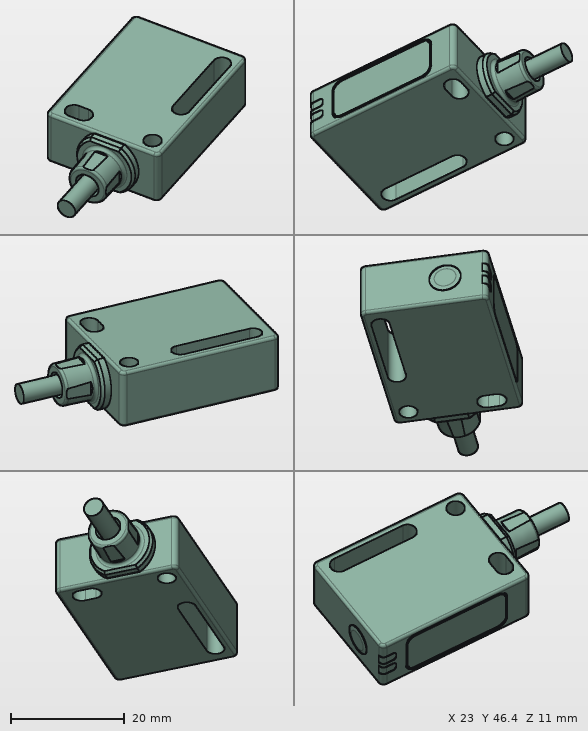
import cadquery as cq
import math

total_length = 46.4
body_width = 23.0
body_height = 11.0
body_length = 31.05
upright_edge_radius = 1.0
flat_edge_radius = 0.55

hole_diameter = 3.25
hole_x = 8.55
hole_y = 2.95
short_slot_x = -6.45
short_slot_length = 5.25
long_slot_y = 20.1
long_slot_length = 17.5

window_length = 21.05
window_height = 9.2
window_y = 15.4
window_radius = 1.95
window_groove_width = 0.32
window_groove_depth = 0.32

indicator_height = 1.8
indicator_length = 3.05
indicator_pitch = 2.8
indicator_radius = 0.65
indicator_depth = 0.1

button_x = -3.85
button_radius = 2.85
button_top_radius = 1.95
button_rise = 0.3
button_rim = 0.15

axis_x = 1.55
flange_radius = 5.95
flange_length = 1.85
flange_half_height = 5.1
flange_chamfer_length = 0.6
flange_chamfer_radial = 0.4
sleeve_base_radius = 3.95
sleeve_tip_radius = 3.85
sleeve_end = 7.8
sleeve_root_fillet = 0.6
sleeve_tip_round = 0.45
grip_flat_distance = 3.7
grip_flat_start = 2.9
grip_ledge_start = 2.55
grip_flat_count = 4
cable_radius = 1.8
funnel_radius = 2.3
funnel_depth = 1.4

cable_end = total_length - body_length - button_rise


def rounded_block(inset):
    """Housing block with rounded edges, shrunk by inset on every side."""
    return (
        cq.Workplane("XY")
        .box(body_width - 2 * inset, body_length - 2 * inset, body_height - 2 * inset)
        .edges("|Z")
        .fillet(upright_edge_radius - inset)
        .faces("<Z or >Z")
        .edges()
        .fillet(flat_edge_radius - inset)
        .translate((0, body_length / 2, 0))
    )


def mounting_holes():
    """Round hole, short cross slot and long slot, all through Z."""
    sketch = cq.Workplane("XY").workplane(offset=-body_height)
    depth = 2 * body_height
    round_hole = sketch.center(hole_x, hole_y).circle(hole_diameter / 2).extrude(depth)
    short_slot = sketch.center(short_slot_x, hole_y).slot2D(short_slot_length, hole_diameter).extrude(depth)
    long_slot = sketch.center(hole_x, long_slot_y).slot2D(long_slot_length, hole_diameter, 90).extrude(depth)
    return round_hole.union(short_slot).union(long_slot)


def window_panel(inset):
    """Rounded rectangular slab reaching the groove depth into the -X side."""
    return (
        cq.Workplane("XY")
        .box(2 * window_groove_depth, window_length - 2 * inset, window_height - 2 * inset)
        .edges("|X")
        .fillet(window_radius - inset)
        .translate((-body_width / 2, window_y, 0))
    )


def indicator_recess(z):
    """Thin skin of the housing inside a round-ended bar at the rear -X corner."""
    bar = (
        cq.Workplane("XY")
        .box(2 * upright_edge_radius, 2 * indicator_length, indicator_height)
        .edges("|X and <Y")
        .fillet(indicator_radius)
        .translate((-body_width / 2, body_length, z))
    )
    return bar.cut(rounded_block(indicator_depth))


def turned(profile):
    """Revolve a closed (radius, distance from the cable face) outline about the cable axis."""
    return profile.close().revolve(360, (0, 0, 0), (0, 1, 0)).mirror("XZ").translate((axis_x, 0, 0))


def flange():
    """Chamfered disc with two chamfered flats, facing +Z and -Z."""
    end_half_height = flange_half_height - flange_chamfer_radial
    straight_length = flange_length - flange_chamfer_length
    disc = turned(
        cq.Workplane("XY")
        .lineTo(flange_radius, 0)
        .lineTo(flange_radius, straight_length)
        .lineTo(flange_radius - flange_chamfer_radial, flange_length)
        .lineTo(0, flange_length)
    )
    bar = (
        cq.Workplane("YZ")
        .moveTo(0, -flange_half_height)
        .lineTo(-straight_length, -flange_half_height)
        .lineTo(-flange_length, -end_half_height)
        .lineTo(-flange_length, end_half_height)
        .lineTo(-straight_length, flange_half_height)
        .lineTo(0, flange_half_height)
        .close()
        .extrude(flange_radius, both=True)
        .translate((axis_x, 0, 0))
    )
    return disc.intersect(bar)


def sleeve():
    """Tapered strain relief with a flared root, a rounded tip and flat grip faces."""
    root_end = flange_length + sleeve_root_fillet
    root_radius = sleeve_base_radius + sleeve_root_fillet
    root_bend = sleeve_root_fillet * (1 - math.sqrt(0.5))
    tip_bend = sleeve_tip_round * (1 - math.sqrt(0.5))
    body = turned(
        cq.Workplane("XY")
        .lineTo(root_radius, 0)
        .lineTo(root_radius, flange_length)
        .threePointArc(
            (sleeve_base_radius + root_bend, flange_length + root_bend),
            (sleeve_base_radius, root_end),
        )
        .lineTo(sleeve_tip_radius, sleeve_end - sleeve_tip_round)
        .threePointArc(
            (sleeve_tip_radius - tip_bend, sleeve_end - tip_bend),
            (sleeve_tip_radius - sleeve_tip_round, sleeve_end),
        )
        .lineTo(0, sleeve_end)
    )
    ledge_rise = grip_flat_start - grip_ledge_start
    cutter = (
        cq.Workplane("YZ")
        .moveTo(-grip_flat_start, grip_flat_distance)
        .lineTo(-sleeve_end, grip_flat_distance)
        .lineTo(-sleeve_end, grip_flat_distance + ledge_rise)
        .lineTo(-grip_ledge_start, grip_flat_distance + ledge_rise)
        .close()
        .extrude(sleeve_base_radius, both=True)
    )
    for index in range(grip_flat_count):
        angle = index * 360 / grip_flat_count
        body = body.cut(cutter.rotate((0, 0, 0), (0, 1, 0), angle).translate((axis_x, 0, 0)))
    funnel = turned(
        cq.Workplane("XY")
        .moveTo(0, sleeve_end - funnel_depth)
        .lineTo(cable_radius, sleeve_end - funnel_depth)
        .lineTo(funnel_radius, sleeve_end)
        .lineTo(0, sleeve_end)
    )
    return body.cut(funnel)


def cable():
    """Plain round cable stub running from the housing to its cut end."""
    return cq.Workplane("XZ").center(axis_x, 0).circle(cable_radius).extrude(cable_end)


def button():
    """Low round button with a bevelled top."""
    return (
        cq.Workplane("XY")
        .lineTo(button_radius, 0)
        .lineTo(button_radius, button_rim)
        .lineTo(button_top_radius, button_rise)
        .lineTo(0, button_rise)
        .close()
        .revolve(360, (0, 0, 0), (0, 1, 0))
        .translate((button_x, body_length, 0))
    )


housing = rounded_block(0).cut(mounting_holes())
housing = housing.cut(window_panel(0).cut(window_panel(window_groove_width)))
for side in (-1, 1):
    housing = housing.cut(indicator_recess(side * indicator_pitch / 2))

result = housing.union(button()).union(flange()).union(sleeve()).union(cable())